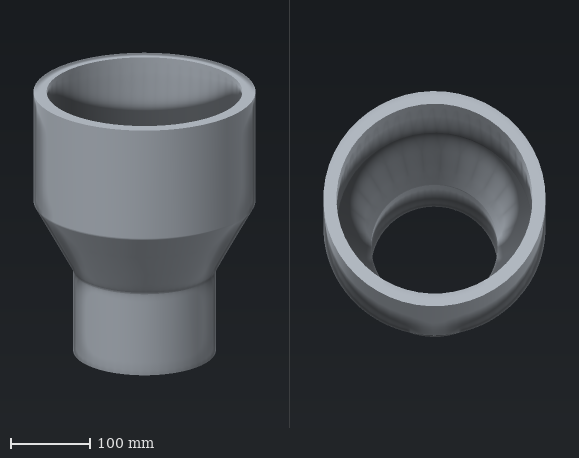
import cadquery as cq

total_height = 348.0
large_outer_diameter = 280.0
large_bore_diameter = 247.0
small_outer_diameter = 180.0
small_bore_diameter = 159.5

small_end_length = 110.3
large_end_length = 146.5
taper_top = total_height - large_end_length

junction_radius = 5.0


def reducer_solid(small_diameter, large_diameter):
    """Solid of revolution about Z: small cylinder, taper, large cylinder."""
    small_radius = small_diameter / 2
    large_radius = large_diameter / 2
    body = (
        cq.Workplane("XZ")
        .lineTo(-small_radius, 0)
        .lineTo(-small_radius, small_end_length)
        .lineTo(-large_radius, taper_top)
        .lineTo(-large_radius, total_height)
        .lineTo(0, total_height)
        .close()
        .revolve(360, (0, 0, 0), (0, 1, 0))
    )
    return body.faces("%CONE").edges("%CIRCLE").fillet(junction_radius)


outer_body = reducer_solid(small_outer_diameter, large_outer_diameter)
bore = reducer_solid(small_bore_diameter, large_bore_diameter)
result = outer_body.cut(bore)